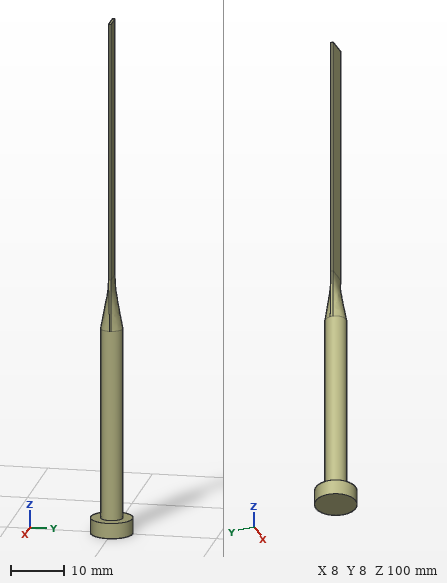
import cadquery as cq

total_length = 100.0
head_height = 3.0
blade_length = 50.0
transition_length = 10.0

head_diameter = 8.0
shaft_diameter = 4.2
blade_width = 3.8
blade_thickness = 0.5

blade_start = total_length - blade_length
shaft_end = blade_start - transition_length


def make_head():
    """Round head at the foot of the pin."""
    return cq.Workplane("XY").circle(head_diameter / 2).extrude(head_height)


def make_shaft():
    """Cylindrical shaft rising from the top of the head."""
    return (
        cq.Workplane("XY", origin=(0, 0, head_height))
        .circle(shaft_diameter / 2)
        .extrude(shaft_end - head_height)
    )


def make_transition():
    """Loft that flattens the round shaft into the blade section."""
    return (
        cq.Workplane("XY", origin=(0, 0, shaft_end))
        .circle(shaft_diameter / 2)
        .workplane(offset=transition_length)
        .rect(blade_width, blade_thickness)
        .loft(ruled=True)
    )


def make_blade():
    """Thin flat blade, wide along X, reaching the tip of the pin."""
    return (
        cq.Workplane("XY", origin=(0, 0, blade_start))
        .rect(blade_width, blade_thickness)
        .extrude(blade_length)
    )


result = make_head().union(make_shaft()).union(make_transition()).union(make_blade())